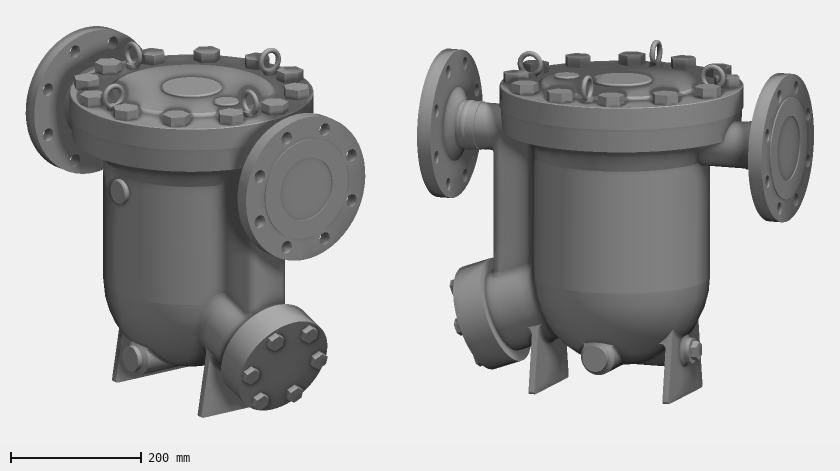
import cadquery as cq
import math


BODY_R = 136.0
DOME_Z = -220.0
NECK_R = 147.5
NECK_BOTTOM_Z = -29.0
BODY_FLANGE_BOTTOM_Z = 10.5
BODY_FLANGE_BOTTOM_R = 183.5
BODY_FLANGE_TOP_R = 186.0

COVER_R = 187.5
COVER_BOTTOM_Z = 46.5
COVER_TOP_Z = 81.0
COVER_EDGE_CHAMFER = 1.0
CROWN_BASE_R = 130.0
CROWN_TOP_R = 122.0
CROWN_HEIGHT = 4.5
CENTRE_PAD_R = 47.0
SIDE_PAD_R = 20.0
SIDE_PAD_X = 90.0
PAD_HEIGHT = 4.5
PAD_CHAMFER = 2.0
FRONT_PAD_Z = -54.0
FRONT_PAD_END = 142.5

COVER_BOLT_COUNT = 12
COVER_BOLT_CIRCLE_R = 163.0
COVER_BOLT_FLATS = 36.0
COVER_BOLT_HEIGHT = 15.5
EYE_COUNT = 4
EYE_RADIUS_FROM_AXIS = 150.0
EYE_TOP_Z = 122.47
EYE_OUTER_R = 20.5
EYE_WIRE_R = 4.0
EYE_COLLAR_R = 10.0
EYE_COLLAR_HEIGHT = 7.0

INLET_FACE = 275.0
OUTLET_FACE = 295.0
PIPE_R = 36.0
PIPE_END_R = 37.5
FLANGE_R = 114.5
FLANGE_THICKNESS = 24.0
RAISED_FACE_R = 79.0
RAISED_FACE_HEIGHT = 2.0
HUB_R = 57.0
HUB_LENGTH = 11.0
WELD_START = 41.5
WELD_END = 50.5
WELD_BULGE = 1.0
PIPE_END_LENGTH = 65.5
BORE_R = 50.0
BORE_DEPTH = 2.0
FLANGE_HOLE_COUNT = 8
FLANGE_HOLE_CIRCLE_R = 95.25
FLANGE_HOLE_R = 10.0

BLEND_R = 15.0
RISER_X = 201.5
RISER_TOP_FILLET_R = 10.0
RISER_FOOT_FILLET_R = 11.0
RISER_BOTTOM_Z = -270.0
PORT_TILT = 20.0
PORT_AXIS_Z = -216.0
PORT_TUBE_R = 66.0
PORT_FLANGE_R = 82.5
PORT_FLANGE_START = 202.0
PORT_FLANGE_THICKNESS = 24.0
PORT_BOLT_COUNT = 6
PORT_BOLT_CIRCLE_R = 65.0
PORT_BOLT_FLATS = 24.0
PORT_BOLT_HEIGHT = 10.0

DRAIN_Z = -328.0
DRAIN_R = 27.5
DRAIN_SHOULDER = 104.0
DRAIN_TAPER_END = 109.5
DRAIN_END = 117.6
DRAIN_END_R = 20.0
DRAIN_FILLET_R = 5.0
PLUG_FLATS = 26.0
PLUG_HEIGHT = 10.0

FOOT_Z = -400.0
LEG_TOP_Z = -283.0
LEG_CENTRES_X = (-100.0, 120.0)
LEG_THICKNESS = 10.0
LEG_BOTTOM_WIDTH = 150.0
LEG_TOP_WIDTH = 110.0
LEG_CORNER_R = 4.0
LEG_FILLET_R = 8.0
LEG_SEAM_LOWEST_Z = -370.0


def revolve_about_z(profile):
    """Revolve a closed XZ outline about the Z axis."""
    return profile.close().revolve(360, (0, 0, 0), (0, 1, 0))


def revolve_about_x(profile):
    """Revolve a closed XZ outline about the X axis."""
    return profile.close().revolve(360, (0, 0, 0), (1, 0, 0))


def hexagon(flats, height):
    """Hexagonal head on the XY plane with two corners on the X axis."""
    return cq.Workplane("XY").polygon(6, flats / math.cos(math.radians(30))).extrude(height)


def pad(radius):
    """Low round pad with a chamfered rim on the XY plane."""
    return cq.Workplane("XY").circle(radius).extrude(PAD_HEIGHT).faces(">Z").chamfer(PAD_CHAMFER)


def make_vessel():
    dome_middle = BODY_R * math.sqrt(0.5)
    profile = (
        cq.Workplane("XZ")
        .moveTo(0, DOME_Z - BODY_R)
        .threePointArc((dome_middle, DOME_Z - dome_middle), (BODY_R, DOME_Z))
        .lineTo(BODY_R, NECK_BOTTOM_Z)
        .lineTo(NECK_R, BODY_FLANGE_BOTTOM_Z)
        .lineTo(BODY_FLANGE_BOTTOM_R, BODY_FLANGE_BOTTOM_Z)
        .lineTo(BODY_FLANGE_TOP_R, COVER_BOTTOM_Z)
        .lineTo(0, COVER_BOTTOM_Z)
    )
    front_pad = (
        cq.Workplane("XZ")
        .center(0, FRONT_PAD_Z)
        .circle(SIDE_PAD_R)
        .extrude(FRONT_PAD_END)
        .faces("<Y")
        .chamfer(PAD_CHAMFER)
    )
    return revolve_about_z(profile).union(front_pad)


def make_cover():
    plate = (
        cq.Workplane("XY", origin=(0, 0, COVER_BOTTOM_Z))
        .circle(COVER_R)
        .extrude(COVER_TOP_Z - COVER_BOTTOM_Z)
        .faces(">Z")
        .chamfer(COVER_EDGE_CHAMFER)
    )
    crown_z = COVER_TOP_Z + CROWN_HEIGHT
    crown = revolve_about_z(
        cq.Workplane("XZ")
        .moveTo(0, COVER_BOTTOM_Z)
        .lineTo(CROWN_BASE_R, COVER_BOTTOM_Z)
        .lineTo(CROWN_BASE_R, COVER_TOP_Z)
        .lineTo(CROWN_TOP_R, crown_z)
        .lineTo(0, crown_z)
    )
    centre_pad = pad(CENTRE_PAD_R).translate((0, 0, crown_z))
    side_pad = pad(SIDE_PAD_R).translate((SIDE_PAD_X, 0, crown_z))
    return plate.union(crown).union(centre_pad).union(side_pad)


def add_cover_bolts(part):
    pitch = 360 / COVER_BOLT_COUNT
    bolt = hexagon(COVER_BOLT_FLATS, COVER_BOLT_HEIGHT)
    first_angle = math.radians(pitch / 2)
    bolt = bolt.translate((
        COVER_BOLT_CIRCLE_R * math.cos(first_angle),
        COVER_BOLT_CIRCLE_R * math.sin(first_angle),
        COVER_TOP_Z,
    ))
    for i in range(COVER_BOLT_COUNT):
        part = part.union(bolt.rotate((0, 0, 0), (0, 0, 1), i * pitch))
    return part


def add_lifting_eyes(part):
    ring_r = EYE_OUTER_R - EYE_WIRE_R
    ring = cq.Workplane("XY").add(cq.Solid.makeTorus(
        ring_r,
        EYE_WIRE_R,
        cq.Vector(EYE_RADIUS_FROM_AXIS, 0, EYE_TOP_Z - EYE_OUTER_R),
        cq.Vector(0, 1, 0),
    ))
    collar = (
        cq.Workplane("XY", origin=(EYE_RADIUS_FROM_AXIS, 0, COVER_TOP_Z))
        .circle(EYE_COLLAR_R)
        .extrude(EYE_COLLAR_HEIGHT)
    )
    eye = collar.union(ring)
    for i in range(EYE_COUNT):
        part = part.union(eye.rotate((0, 0, 0), (0, 0, 1), i * 360 / EYE_COUNT))
    return part


def make_pipe(face):
    """Flanged pipe from the vessel axis to a flange face in the +X direction."""
    flange_back = face - FLANGE_THICKNESS
    weld_middle = face - (WELD_START + WELD_END) / 2
    raised_root = face - RAISED_FACE_HEIGHT
    pipe = revolve_about_x(
        cq.Workplane("XZ")
        .lineTo(0, PIPE_R)
        .lineTo(face - PIPE_END_LENGTH, PIPE_R)
        .lineTo(face - PIPE_END_LENGTH, PIPE_END_R)
        .lineTo(face - WELD_END, PIPE_END_R)
        .threePointArc((weld_middle, PIPE_END_R + WELD_BULGE), (face - WELD_START, PIPE_END_R))
        .lineTo(flange_back - HUB_LENGTH, PIPE_END_R)
        .lineTo(flange_back, HUB_R)
        .lineTo(flange_back, FLANGE_R)
        .lineTo(raised_root, FLANGE_R)
        .lineTo(raised_root, RAISED_FACE_R)
        .lineTo(face, RAISED_FACE_R)
        .lineTo(face, BORE_R)
        .lineTo(face - BORE_DEPTH, BORE_R)
        .lineTo(face - BORE_DEPTH, 0)
    )
    holes = (
        cq.Workplane("YZ", origin=(flange_back, 0, 0))
        .polarArray(FLANGE_HOLE_CIRCLE_R, 180 / FLANGE_HOLE_COUNT, 360, FLANGE_HOLE_COUNT)
        .circle(FLANGE_HOLE_R)
        .extrude(FLANGE_THICKNESS)
    )
    return pipe.cut(holes)


def make_riser():
    """Flat-sided passage up to the outlet pipe, blended into the vessel wall."""
    half_width = PIPE_R
    blend_y = half_width + BLEND_R
    blend_x = math.sqrt((BODY_R + BLEND_R) ** 2 - blend_y ** 2)
    to_wall = BODY_R / (BODY_R + BLEND_R)
    wall_x = blend_x * to_wall
    wall_y = blend_y * to_wall
    start_angle = math.atan2(-blend_y, -blend_x)
    middle_angle = (start_angle - math.pi / 2) / 2
    middle_x = blend_x + BLEND_R * math.cos(middle_angle)
    middle_y = blend_y + BLEND_R * math.sin(middle_angle)
    riser = (
        cq.Workplane("XY", origin=(0, 0, RISER_BOTTOM_Z))
        .lineTo(wall_x, -wall_y)
        .threePointArc((middle_x, -middle_y), (blend_x, -half_width))
        .lineTo(RISER_X, -half_width)
        .lineTo(RISER_X, half_width)
        .lineTo(blend_x, half_width)
        .threePointArc((middle_x, middle_y), (wall_x, wall_y))
        .close()
        .extrude(-RISER_BOTTOM_Z)
    )
    return riser.edges("|Z and >X").fillet(BLEND_R)


def make_riser_with_outlet():
    """Riser joined to the outlet pipe, with a fillet under the pipe."""
    joined = make_riser().union(make_pipe(OUTLET_FACE))
    corner = cq.selectors.BoxSelector(
        (RISER_X - BLEND_R - 1, -PIPE_R - 1, -PIPE_R - 1),
        (RISER_X + 1, PIPE_R + 1, 1),
        boundingbox=True,
    )
    return joined.edges(corner).fillet(RISER_TOP_FILLET_R)


def make_port():
    """Inclined port tube, flared into the dome, with its bolted cover."""
    flare_r = PORT_TUBE_R + BLEND_R
    flare_x = math.sqrt((BODY_R + BLEND_R) ** 2 - flare_r ** 2)
    to_wall = BODY_R / (BODY_R + BLEND_R)
    start_angle = math.atan2(-flare_r, -flare_x)
    middle_angle = (start_angle - math.pi / 2) / 2
    flange_end = PORT_FLANGE_START + PORT_FLANGE_THICKNESS
    cover_end = flange_end + PORT_FLANGE_THICKNESS
    tube = revolve_about_x(
        cq.Workplane("XZ")
        .lineTo(flare_x * to_wall, flare_r * to_wall)
        .threePointArc(
            (flare_x + BLEND_R * math.cos(middle_angle), flare_r + BLEND_R * math.sin(middle_angle)),
            (flare_x, PORT_TUBE_R),
        )
        .lineTo(flange_end, PORT_TUBE_R)
        .lineTo(flange_end, 0)
    )
    flange = (
        cq.Workplane("YZ", origin=(PORT_FLANGE_START, 0, 0))
        .circle(PORT_FLANGE_R)
        .extrude(PORT_FLANGE_THICKNESS)
    )
    cover = flange.translate((PORT_FLANGE_THICKNESS, 0, 0))
    port = tube.union(flange, clean=False).union(cover, clean=False)
    bolt = (
        hexagon(PORT_BOLT_FLATS, PORT_BOLT_HEIGHT)
        .rotate((0, 0, 0), (0, 1, 0), 90)
        .translate((cover_end, PORT_BOLT_CIRCLE_R, 0))
    )
    for i in range(PORT_BOLT_COUNT):
        port = port.union(bolt.rotate((0, 0, 0), (1, 0, 0), i * 360 / PORT_BOLT_COUNT), clean=False)
    return port.rotate((0, 0, 0), (0, 1, 0), PORT_TILT).translate((0, 0, PORT_AXIS_Z))


def add_port(part):
    """Join the port and round the seam where the riser runs into its tube."""
    joined = part.union(make_port())
    blend_end_x = math.sqrt((BODY_R + BLEND_R) ** 2 - (PIPE_R + BLEND_R) ** 2)
    seam = cq.selectors.BoxSelector(
        (blend_end_x - BLEND_R / 4, -PIPE_R - 1, RISER_BOTTOM_Z),
        (RISER_X + 1, PIPE_R + 1, PORT_AXIS_Z + BLEND_R),
        boundingbox=True,
    )
    return joined.edges(seam).fillet(RISER_FOOT_FILLET_R)


def make_drain():
    """Stepped drain boss along +X."""
    return revolve_about_x(
        cq.Workplane("XZ")
        .lineTo(0, DRAIN_R)
        .lineTo(DRAIN_SHOULDER, DRAIN_R)
        .lineTo(DRAIN_TAPER_END, DRAIN_END_R)
        .lineTo(DRAIN_END, DRAIN_END_R)
        .lineTo(DRAIN_END, 0)
    ).translate((0, 0, DRAIN_Z))


def make_vessel_with_drains():
    """Vessel with its drain bosses, their dome seams rounded, and the drain plug."""
    part = make_vessel()
    drain = make_drain()
    for angle in (-90, 90, 180):
        part = part.union(drain.rotate((0, 0, 0), (0, 0, 1), angle))
    reach = DRAIN_SHOULDER + 0.5
    seams = cq.selectors.BoxSelector(
        (-reach, -reach, DRAIN_Z - DRAIN_R - 1),
        (DRAIN_R + 1, reach, DRAIN_Z + DRAIN_R),
        boundingbox=True,
    )
    part = part.edges("%BSPLINE").edges(seams).fillet(DRAIN_FILLET_R)
    plug = (
        hexagon(PLUG_FLATS, PLUG_HEIGHT)
        .rotate((0, 0, 0), (0, 1, 0), -90)
        .translate((-DRAIN_END, 0, DRAIN_Z))
    )
    return part.union(plug)


def make_leg(centre_x):
    return (
        cq.Workplane("YZ", origin=(centre_x - LEG_THICKNESS / 2, 0, 0))
        .moveTo(-LEG_BOTTOM_WIDTH / 2, FOOT_Z)
        .lineTo(LEG_BOTTOM_WIDTH / 2, FOOT_Z)
        .lineTo(LEG_TOP_WIDTH / 2, LEG_TOP_Z)
        .lineTo(-LEG_TOP_WIDTH / 2, LEG_TOP_Z)
        .close()
        .extrude(LEG_THICKNESS)
        .edges("|X and <Z")
        .fillet(LEG_CORNER_R)
    )


def add_legs(part):
    """Join both legs and round their seams with the dome and the port tube."""
    for centre_x in LEG_CENTRES_X:
        part = part.union(make_leg(centre_x))
        for face_x in (centre_x - LEG_THICKNESS / 2, centre_x + LEG_THICKNESS / 2):
            seam = cq.selectors.BoxSelector(
                (face_x - 0.1, -LEG_BOTTOM_WIDTH / 2, LEG_SEAM_LOWEST_Z),
                (face_x + 0.1, LEG_BOTTOM_WIDTH / 2, LEG_TOP_Z + 1),
                boundingbox=True,
            )
            part = part.edges(seam).fillet(LEG_FILLET_R)
    return part


inlet = make_pipe(INLET_FACE).rotate((0, 0, 0), (0, 0, 1), 180)
result = make_vessel().union(inlet).union(make_riser_with_outlet())
result = add_port(result)
result = add_legs(result)
result = result.union(make_vessel_with_drains())
result = result.union(make_cover())
result = add_cover_bolts(result)
result = add_lifting_eyes(result)